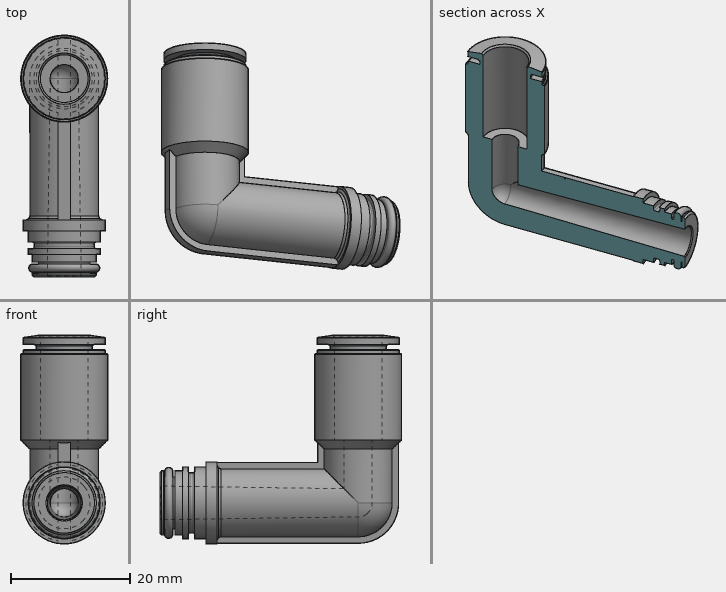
import cadquery as cq
import math

arm_radius = 11.57 / 2
bore_radius = 2.35

top_z = 28.15
socket_radius = 7.3
socket_bottom_z = 10.55
socket_top_z = 25.05
socket_edge = 0.12
collar_radius = 6.9
collar_top_z = 25.75
collar_edge = 0.15
neck_radius = 4.7
neck_flare_radius = 5.08
neck_flare_z = 26.3
button_bottom_z = 26.6
button_rim_z = 27.77
button_edge = 0.1
tube_radius = 8.0 / 2
tube_mouth_radius = 8.6 / 2
tube_stop_z = 10.55

overall_length = 40.6
plug_length = overall_length - socket_radius
flange_radius = 6.9
flange_start = 23.7
flange_end = 25.55
flange_taper_start = 23.0
flange_taper_break = 23.45
flange_taper_break_radius = 5.95
flange_taper_radius = 6.45
shoulder_radius = 6.05
shoulder_end = 27.45
clip_groove_radius = 5.08
clip_groove_end = 28.5
clip_groove_fillet = 0.25
land_end = 29.48
nose_radius = 10.8 / 2
seal_groove_radius = 4.35
seal_groove_start = 30.77
seal_groove_end = 32.65
nose_chamfer = 0.32
seal_section_radius = 0.7
seal_center = 31.8
seal_outer_radius = 11.95 / 2
port_radius = 2.85
port_chamfer = 0.2

web_width = 2.05
web_reach = 13.6 / 2


def arc_point(center_x, center_y, radius, angle):
    """Point on an arc at the given direction, in degrees."""
    direction = math.radians(angle)
    return (center_x + radius * math.cos(direction), center_y + radius * math.sin(direction))


def along_horizontal_arm(solid):
    """Turn a solid built up +Z so that it runs along -Y."""
    return solid.rotate((0, 0, 0), (1, 0, 0), 90)


def revolve_up(profile):
    """Revolve a (radius, height) profile about the Z axis."""
    return profile.close().revolve(360, (0, 0, 0), (0, 1, 0))


def make_socket():
    profile = cq.Workplane("XZ").polyline([
        (0, 0),
        (arm_radius, 0),
        (arm_radius, socket_bottom_z - (socket_radius - arm_radius)),
        (socket_radius, socket_bottom_z),
        (socket_radius, socket_top_z - socket_edge),
        (socket_radius - socket_edge, socket_top_z),
        (collar_radius, socket_top_z),
        (collar_radius, collar_top_z - collar_edge),
        (collar_radius - collar_edge, collar_top_z),
        (neck_radius, collar_top_z),
        (neck_radius, neck_flare_z),
        (neck_flare_radius, button_bottom_z),
        (collar_radius, button_bottom_z),
        (collar_radius, button_rim_z - button_edge),
        (collar_radius - button_edge, button_rim_z),
        (tube_mouth_radius, top_z),
        (0, top_z),
    ])
    return revolve_up(profile)


def make_plug():
    groove_fillet_x = clip_groove_radius + clip_groove_fillet
    groove_first = shoulder_end + clip_groove_fillet
    groove_last = clip_groove_end - clip_groove_fillet
    groove_mid_first = arc_point(groove_fillet_x, groove_first, clip_groove_fillet, 225)
    groove_mid_last = arc_point(groove_fillet_x, groove_last, clip_groove_fillet, 135)
    profile = (
        cq.Workplane("XZ")
        .moveTo(0, 0)
        .lineTo(arm_radius, 0)
        .lineTo(arm_radius, flange_taper_start)
        .lineTo(flange_taper_break_radius, flange_taper_break)
        .lineTo(flange_taper_radius, flange_start)
        .lineTo(flange_radius, flange_start)
        .lineTo(flange_radius, flange_end)
        .lineTo(shoulder_radius, flange_end)
        .lineTo(shoulder_radius, shoulder_end)
        .lineTo(groove_fillet_x, shoulder_end)
        .threePointArc(groove_mid_first, (clip_groove_radius, groove_first))
        .lineTo(clip_groove_radius, groove_last)
        .threePointArc(groove_mid_last, (groove_fillet_x, clip_groove_end))
        .lineTo(shoulder_radius, clip_groove_end)
        .lineTo(shoulder_radius, land_end)
        .lineTo(nose_radius, land_end)
        .lineTo(nose_radius, seal_groove_start)
        .lineTo(seal_groove_radius, seal_groove_start)
        .lineTo(seal_groove_radius, seal_groove_end)
        .lineTo(nose_radius, seal_groove_end)
        .lineTo(nose_radius, plug_length - nose_chamfer)
        .lineTo(nose_radius - nose_chamfer, plug_length)
        .lineTo(0, plug_length)
    )
    return along_horizontal_arm(revolve_up(profile))


def make_seal():
    """Ring with a rounded crown, seated in the seal groove."""
    seat_radius = seal_groove_radius - seal_section_radius / 2
    crown_radius = seal_outer_radius - seal_section_radius
    seal_start = seal_center - seal_section_radius
    seal_end = seal_center + seal_section_radius
    profile = (
        cq.Workplane("XZ")
        .moveTo(seat_radius, seal_start)
        .lineTo(crown_radius, seal_start)
        .threePointArc((seal_outer_radius, seal_center), (crown_radius, seal_end))
        .lineTo(seat_radius, seal_end)
    )
    return along_horizontal_arm(revolve_up(profile))


def make_web():
    arc_mid = arc_point(0, 0, web_reach, -45)
    return (
        cq.Workplane("YZ")
        .moveTo(web_reach, socket_bottom_z)
        .lineTo(web_reach, 0)
        .threePointArc(arc_mid, (0, -web_reach))
        .lineTo(-flange_start, -web_reach)
        .lineTo(-flange_start, web_reach)
        .lineTo(-web_reach, web_reach)
        .lineTo(-web_reach, socket_bottom_z)
        .close()
        .extrude(web_width / 2, both=True)
    )


def make_tube_bore():
    mouth_chamfer = tube_mouth_radius - tube_radius
    profile = cq.Workplane("XZ").polyline([
        (0, 0),
        (bore_radius, 0),
        (bore_radius, tube_stop_z),
        (tube_radius, tube_stop_z),
        (tube_radius, top_z - mouth_chamfer),
        (tube_mouth_radius, top_z),
        (0, top_z),
    ])
    return revolve_up(profile)


def make_port_bore():
    """Bore that widens from the elbow to the plug mouth."""
    profile = cq.Workplane("XZ").polyline([
        (0, 0),
        (bore_radius, 0),
        (port_radius, plug_length - port_chamfer),
        (port_radius + port_chamfer, plug_length),
        (0, plug_length),
    ])
    return along_horizontal_arm(revolve_up(profile))


outer_elbow = cq.Workplane("XY").sphere(arm_radius)
inner_elbow = cq.Workplane("XY").sphere(bore_radius)

body = make_socket().union(make_plug()).union(outer_elbow).union(make_web()).union(make_seal())
result = body.cut(make_tube_bore()).cut(make_port_bore()).cut(inner_elbow)